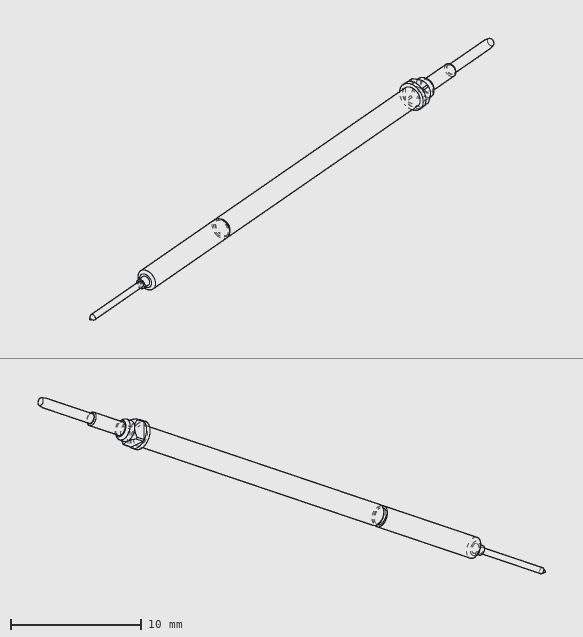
import cadquery as cq


collar_diameter = 2.3
collar_thickness = 0.35

square_width = 1.7
square_corner_diameter = 2.25
square_length = 0.7
square_lead_in = 0.25

head_diameter = 1.7
head_length = 0.45
head_chamfer_length = 0.25
head_chamfer_depth = 0.2

sleeve_diameter = 1.1
sleeve_length = 3.0
sleeve_chamfer = 0.1
plunger_diameter = 0.8
plunger_length = 5.0
plunger_chamfer_depth = 0.08
plunger_chamfer_length = 0.4

barrel_diameter = 1.7
front_barrel_length = 23.75
groove_fillet = 0.15
groove_width = 0.25
groove_diameter = 1.4
rear_barrel_length = 9.5
barrel_chamfer_length = 0.15
barrel_chamfer_depth = 0.27

stub_diameter = 0.8
stub_length = 0.6
wire_diameter = 0.5
wire_tip_length = 0.35
wire_tip_diameter = 0.1
overall_length = 50.5

collar_front = collar_thickness
square_front = collar_front + square_length + square_lead_in
head_front = square_front + head_length + head_chamfer_length
sleeve_front = head_front + sleeve_length
plunger_front = sleeve_front + plunger_length
groove_front = -front_barrel_length
groove_back = groove_front - groove_width
barrel_back = groove_back - rear_barrel_length
stub_back = barrel_back - stub_length
wire_back = plunger_front - overall_length


def cylinder(diameter, back, front):
    """Round section about the Y axis, running from back to front."""
    length = front - back
    return cq.Workplane("XZ", origin=(0, front, 0)).circle(diameter / 2).extrude(length)


def cone(back_diameter, front_diameter, back, front):
    """Tapered section about the Y axis, running from back to front."""
    outline = cq.Workplane("XY").moveTo(0, back).lineTo(back_diameter / 2, back)
    outline = outline.lineTo(front_diameter / 2, front).lineTo(0, front).close()
    return outline.revolve(360, (0, 0, 0), (0, 1, 0))


def make_square():
    """Square section trimmed by a cylinder at its corners and by a cone at its front."""
    lead_in_back = square_front - square_lead_in
    square = (
        cq.Workplane("XZ", origin=(0, square_front, 0))
        .rect(square_width, square_width)
        .extrude(square_front - collar_front)
    )
    envelope = cylinder(square_corner_diameter, collar_front, lead_in_back).union(
        cone(square_corner_diameter, head_diameter, lead_in_back, square_front)
    )
    return square.intersect(envelope)


def make_front():
    """Head, sleeve and plunger."""
    head_edge = square_front + head_length
    head = cylinder(head_diameter, square_front, head_edge)
    nose_diameter = head_diameter - 2 * head_chamfer_depth
    head = head.union(cone(head_diameter, nose_diameter, head_edge, head_front))
    sleeve = cylinder(sleeve_diameter, head_front, sleeve_front).faces(">Y").chamfer(sleeve_chamfer)
    plunger_edge = plunger_front - plunger_chamfer_length
    plunger = cylinder(plunger_diameter, sleeve_front, plunger_edge)
    tip_diameter = plunger_diameter - 2 * plunger_chamfer_depth
    plunger = plunger.union(cone(tip_diameter, plunger_diameter, plunger_front, plunger_edge))
    return head.union(sleeve).union(plunger)


def make_barrel():
    """Front barrel rounded into a narrow groove, then the rear barrel with a chamfered end."""
    front_barrel = cylinder(barrel_diameter, groove_front, 0).faces("<Y").edges().fillet(groove_fillet)
    groove = cylinder(groove_diameter, groove_back, groove_front)
    rear_edge = barrel_back + barrel_chamfer_length
    rear_barrel = cylinder(barrel_diameter, rear_edge, groove_back)
    rear_face_diameter = barrel_diameter - 2 * barrel_chamfer_depth
    rear_barrel = rear_barrel.union(cone(rear_face_diameter, barrel_diameter, barrel_back, rear_edge))
    return front_barrel.union(groove).union(rear_barrel)


def make_tail():
    """Stub and wire, the wire ending in a blunt taper."""
    taper_front = wire_back + wire_tip_length
    stub = cylinder(stub_diameter, stub_back, barrel_back)
    wire = cylinder(wire_diameter, taper_front, stub_back)
    tip = cone(wire_tip_diameter, wire_diameter, wire_back, taper_front)
    return stub.union(wire).union(tip)


collar = cylinder(collar_diameter, 0, collar_front)
result = collar.union(make_square()).union(make_front()).union(make_barrel()).union(make_tail())